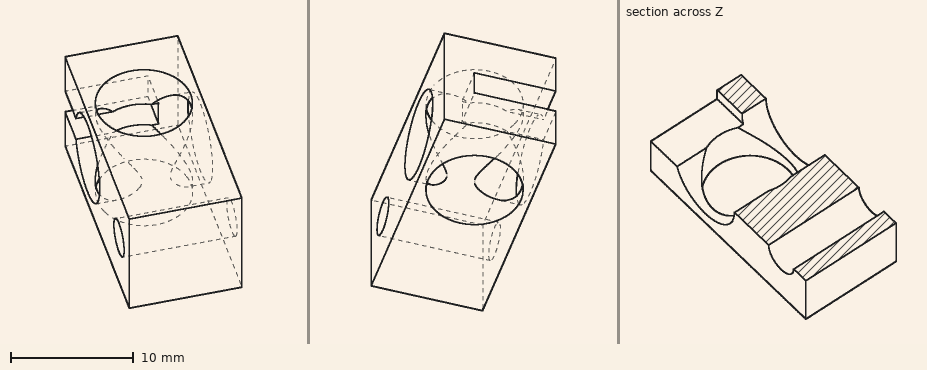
import cadquery as cq

length = 20.0
depth = 9.52
height = 10.0

bore_x = 7.0
cross_bore_diameter = 7.55
vertical_bore_diameter = 7.92

small_hole_x = 16.8
small_hole_diameter = 3.2

slot_width = 2.32
slot_depth = 6.98


def hole_along_y(x, diameter):
    """Through-depth cylinder at mid height."""
    return cq.Workplane("XZ").center(x, height / 2).circle(diameter / 2).extrude(-depth)


block = cq.Workplane("XY").box(length, depth, height, centered=False)

vertical_bore = (
    cq.Workplane("XY")
    .center(bore_x, depth / 2)
    .circle(vertical_bore_diameter / 2)
    .extrude(height)
)

slot = (
    cq.Workplane("XY")
    .box(bore_x, slot_depth, slot_width, centered=False)
    .translate((0, 0, (height - slot_width) / 2))
)

result = (
    block
    .cut(hole_along_y(bore_x, cross_bore_diameter))
    .cut(hole_along_y(small_hole_x, small_hole_diameter))
    .cut(vertical_bore)
    .cut(slot)
)